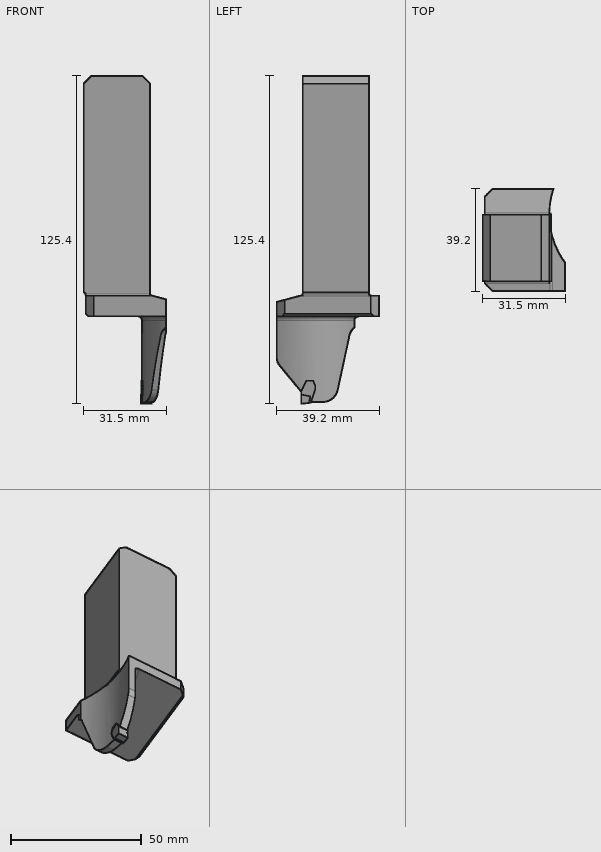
import cadquery as cq
import math


shank_size = 25.4
shank_half = shank_size / 2
shank_top = 91.9
shank_chamfer = 2.9

collar_back = shank_half + 9.9
collar_front = -shank_half - 3.85
collar_inset = 0.75
collar_left = -shank_half + collar_inset
collar_right = -shank_half + 31.54
collar_height = 8.0
collar_corner = 3.1
collar_bottom_chamfer = 1.1
slope_angle = math.radians(15)
slope_tangent = math.tan(slope_angle)
slope_rounding = 3.0

foot_fillet = 0.75
foot_sink = 0.1
undercut_radius = 1.5

arc_y = shank_half
inner_radius = 31.0
inner_x = shank_half + 0.1 + inner_radius
outer_radius = 25.8
outer_left = 9.5
outer_x = outer_left + outer_radius
blade_fillet = 1.4
blade_bottom = -32.75
cut_y = collar_back - 9.4
heel_y = collar_back - 22.35
lead_top_z = -17.4
lead_bottom_z = -28.8
lead_radius = 4.5
heel_radius = 6.0
flare_start_y = collar_back - 27.7
flare_start_z = -8.1
flare_mid_y = collar_back - 28.3
flare_mid_z = -6.0
flare_end_y = collar_back - 29.9
flare_end_z = -4.1

tip_bottom = shank_top - 125.35
insert_left = outer_left - 0.15
tip_left = outer_left - 0.3
insert_right = shank_half + 0.6
body_base_width = 3.6
body_width = 5.4
body_crown_start = 1.9
body_crown_end = 4.6
body_base = 0.4
body_front_shoulder = 4.9
body_lower_shoulder = 5.7
body_upper_shoulder = 6.9
body_height = 8.8
tip_base_width = 2.9
tip_width = 3.5
tip_rear_base = 0.35
tip_rear_height = 2.9
tip_height = 3.6

level_below = tip_bottom - 1.0


def prism_along_x(outline, x_start, x_end):
    """Extrude a closed (Y, Z) outline from x_start to x_end."""
    return outline.extrude(x_end - x_start).translate((x_start, 0, 0))


def foot_strip(plane, length):
    """Concave fillet strip standing on the collar, against a wall at local x = 0.

    It is sunk slightly into the collar, so that it also meets the start of a slope.
    """
    middle = foot_fillet * (1 - math.sqrt(0.5))
    return (
        cq.Workplane(plane)
        .moveTo(0, -foot_sink)
        .lineTo(foot_fillet, -foot_sink)
        .lineTo(foot_fillet, 0)
        .threePointArc((middle, middle), (0, foot_fillet))
        .close()
        .extrude(length)
    )


def plan_prism(z_start, z_end):
    """Collar outline in plan, with chamfered left corners and the right side cut by the inner arc."""
    height = z_end - z_start
    width = collar_right - collar_left
    depth = collar_back - collar_front
    block = (
        cq.Workplane("XY", origin=(collar_left, collar_front, z_start))
        .box(width, depth, height, centered=False)
        .edges("|Z and <X")
        .chamfer(collar_corner)
    )
    clearance = (
        cq.Workplane("XY", origin=(inner_x, arc_y, z_start)).circle(inner_radius).extrude(height)
    )
    return block.cut(clearance)


def make_shank():
    """Square bar with a chamfered top and an undercut that runs down into the left collar face."""
    undercut_z = collar_height + math.sqrt(undercut_radius**2 - (undercut_radius - collar_inset) ** 2)
    arc_centre_x = collar_left - undercut_radius
    arc_angle = math.acos(1 - collar_inset / undercut_radius) / 2
    arc_middle = (
        arc_centre_x + undercut_radius * math.cos(arc_angle),
        collar_height + undercut_radius * math.sin(arc_angle),
    )
    return (
        cq.Workplane("XZ", origin=(0, shank_half, 0))
        .moveTo(collar_left, collar_height)
        .threePointArc(arc_middle, (-shank_half, undercut_z))
        .lineTo(-shank_half, shank_top - shank_chamfer)
        .lineTo(-shank_half + shank_chamfer, shank_top)
        .lineTo(shank_half - shank_chamfer, shank_top)
        .lineTo(shank_half, shank_top - shank_chamfer)
        .lineTo(shank_half, collar_height)
        .close()
        .extrude(shank_size)
    )


def make_collar():
    """Collar plate, sloping down by 15 degrees past the shank at the back and at the right."""
    width = collar_right - collar_left
    depth = collar_back - collar_front
    back_slope_y = shank_half + foot_fillet
    right_slope_x = shank_half + foot_fillet
    round_start_x = right_slope_x - slope_rounding * math.tan(slope_angle / 2)
    back_drop = (collar_back - back_slope_y) * slope_tangent
    right_drop = (collar_right - right_slope_x) * slope_tangent

    def round_point(angle):
        """Point on the rounding between the flat top and the right slope."""
        return (
            round_start_x + slope_rounding * math.sin(angle),
            collar_height - slope_rounding * (1 - math.cos(angle)),
        )

    back_wedge = prism_along_x(
        cq.Workplane("YZ").polyline(
            [
                (back_slope_y, collar_height),
                (collar_back, collar_height),
                (collar_back, collar_height - back_drop),
            ]
        ).close(),
        collar_left,
        collar_right,
    )
    right_wedge = (
        cq.Workplane("XZ", origin=(0, collar_back, 0))
        .moveTo(round_start_x, collar_height)
        .threePointArc(round_point(slope_angle / 2), round_point(slope_angle))
        .lineTo(collar_right, collar_height - right_drop)
        .lineTo(collar_right, collar_height)
        .close()
        .extrude(depth)
    )
    bottom_wedge = (
        cq.Workplane("XZ", origin=(0, collar_back, 0))
        .polyline(
            [
                (collar_left, 0),
                (collar_left + collar_bottom_chamfer, 0),
                (collar_left, collar_bottom_chamfer),
            ]
        )
        .close()
        .extrude(depth)
    )
    return plan_prism(0, collar_height).cut(back_wedge).cut(right_wedge).cut(bottom_wedge)


def make_foot_fillets():
    """Fillet strips between the shank and the collar at the back, front and right."""
    length = shank_half - collar_left
    back = foot_strip(cq.Plane((collar_left, shank_half, collar_height), (0, 1, 0), (1, 0, 0)), length)
    front = foot_strip(
        cq.Plane((shank_half, -shank_half, collar_height), (0, -1, 0), (-1, 0, 0)), length
    )
    right = foot_strip(
        cq.Plane((shank_half, shank_half, collar_height), (1, 0, 0), (0, -1, 0)), shank_size
    )
    return back.union(front).union(right)


def make_blade():
    """Blade side outline, trimmed in plan to the sliver between the two arcs."""
    profile = (
        cq.Workplane("YZ")
        .moveTo(collar_back, 0)
        .lineTo(collar_back, lead_top_z)
        .lineTo(cut_y, lead_bottom_z)
        .lineTo(cut_y, blade_bottom)
        .lineTo(heel_y, blade_bottom)
        .lineTo(flare_start_y, flare_start_z)
        .threePointArc((flare_mid_y, flare_mid_z), (flare_end_y, flare_end_z))
        .lineTo(flare_end_y, 0)
        .close()
    )
    plate = prism_along_x(profile, 0, collar_right)
    plate_middle = collar_right / 2
    heel_edge = cq.selectors.NearestToPointSelector((plate_middle, heel_y, blade_bottom))
    plate = plate.edges(heel_edge).fillet(heel_radius)
    lead_edge = cq.selectors.NearestToPointSelector((plate_middle, collar_back, lead_top_z))
    plate = plate.edges(lead_edge).fillet(lead_radius)
    outer_cylinder = (
        cq.Workplane("XY", origin=(outer_x, arc_y, level_below)).circle(outer_radius).extrude(-level_below)
    )
    return plate.intersect(outer_cylinder).intersect(plan_prism(level_below, 0))


def make_blade_fillet():
    """Concave ring fillet between the outer face of the blade and the underside of the collar."""
    middle = blade_fillet * (1 - math.sqrt(0.5))
    ring = (
        cq.Workplane("XZ", origin=(outer_x, arc_y, 0))
        .moveTo(0, 0)
        .lineTo(-outer_radius - blade_fillet, 0)
        .threePointArc((-outer_radius - middle, -middle), (-outer_radius, -blade_fillet))
        .lineTo(0, -blade_fillet)
        .close()
        .revolve(360, (0, 0, 0), (0, 1, 0))
    )
    return ring.intersect(plan_prism(-blade_fillet, 0))


def make_insert():
    """Cutting insert: a six-sided body with a slightly proud cutting tip at its lower end."""
    body_outline = [
        (0, body_base),
        (0, body_front_shoulder),
        (-body_crown_start, body_height),
        (-body_crown_end, body_height),
        (-body_width, body_upper_shoulder),
        (-body_width, body_lower_shoulder),
        (-body_base_width, body_base),
    ]
    tip_outline = [
        (0, 0),
        (0, tip_height),
        (-tip_width, tip_rear_height),
        (-tip_base_width, tip_rear_base),
    ]
    side_plane = cq.Workplane("YZ", origin=(0, cut_y, tip_bottom))
    body = prism_along_x(side_plane.polyline(body_outline).close(), insert_left, insert_right)
    tip = prism_along_x(side_plane.polyline(tip_outline).close(), tip_left, insert_right)
    return body.union(tip)


insert = make_insert()
holder = (
    make_shank()
    .union(make_collar())
    .union(make_foot_fillets())
    .union(make_blade())
    .union(make_blade_fillet())
    .cut(insert)
)

result = cq.Compound.makeCompound([*holder.solids().vals(), *insert.solids().vals()])